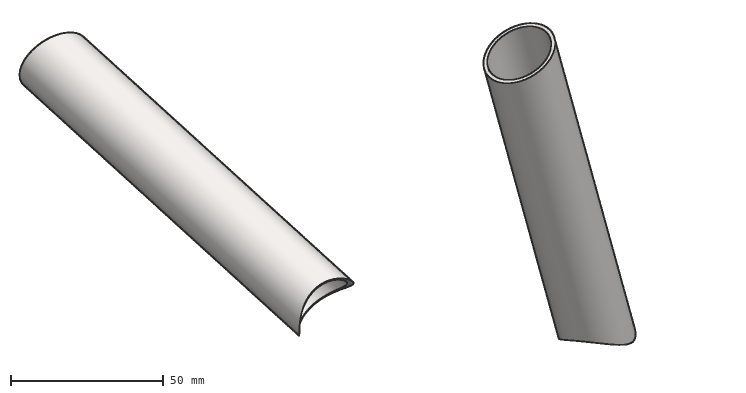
import cadquery as cq
import math

outer_diameter = 25.0
wall = 1.4
tube_angle = 11.7
end_tilt = 1.5
overrun = 41.7

mating_radius = 16.0
mating_distance = 149.1
mating_offset = 0.3
mating_slope_along = 0.41
mating_slope_across = -0.29
cutter_length = 166.9

outer_radius = outer_diameter / 2
inner_radius = outer_radius - wall


def make_tube():
    """Tube along X, running past both of its finished ends."""
    return (
        cq.Workplane("YZ", origin=(-overrun, 0, 0))
        .circle(outer_radius)
        .circle(inner_radius)
        .extrude(mating_distance + overrun)
    )


def make_mating_cylinder():
    """Leaning cylinder that shapes the saddle end."""
    direction = cq.Vector(mating_slope_along, mating_slope_across, 1).normalized()
    middle = cq.Vector(mating_distance, mating_offset, 0)
    start = middle - direction * (cutter_length / 2)
    return cq.Workplane(obj=cq.Solid.makeCylinder(mating_radius, cutter_length, start, direction))


def make_end_trim():
    """Block whose +X face is the slightly leaning flat end."""
    block_size = 4 * overrun
    face_x = outer_radius * math.tan(math.radians(end_tilt))
    return (
        cq.Workplane("XY")
        .box(block_size, block_size, block_size)
        .translate((-block_size / 2, 0, 0))
        .rotate((0, 0, 0), (0, 1, 0), -end_tilt)
        .translate((face_x, 0, 0))
    )


saddled_tube = make_tube().cut(make_mating_cylinder())
turned_tube = saddled_tube.rotate((0, 0, 0), (0, 0, 1), tube_angle)
result = turned_tube.cut(make_end_trim())